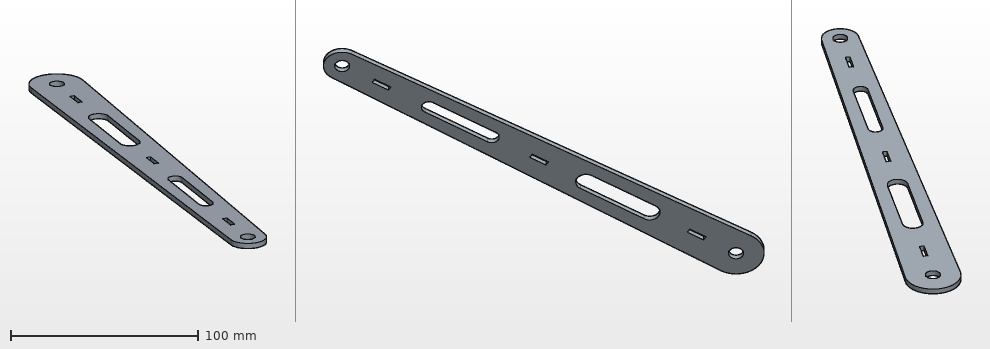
import cadquery as cq
import math

length = 275.0
thickness = 3.0
large_end_radius = 14.98
small_end_radius = 10.04
pivot_diameter = 8.0

large_end_x = -length / 2 + large_end_radius
small_end_x = length / 2 - small_end_radius
pivot_spacing = small_end_x - large_end_x

large_slot_length = 51.5
large_slot_width = 11.0
small_slot_length = 47.8
small_slot_width = 8.0

slit_length = 10.2
slit_width = 2.5


def along_link(fraction):
    """X position at a fraction of the distance between the pivots."""
    return large_end_x + fraction * pivot_spacing


def cutter(x):
    """Sketching plane on the underside, centred at x on the link axis."""
    return cq.Workplane("XY").center(x, 0)


def link_blank():
    """Plate bounded by the two end arcs and their common tangent edges."""
    normal_x = (large_end_radius - small_end_radius) / pivot_spacing
    normal_y = math.sqrt(1 - normal_x**2)
    large_tangent_x = large_end_x + large_end_radius * normal_x
    large_tangent_y = large_end_radius * normal_y
    small_tangent_x = small_end_x + small_end_radius * normal_x
    small_tangent_y = small_end_radius * normal_y
    return (
        cq.Workplane("XY")
        .moveTo(large_tangent_x, large_tangent_y)
        .lineTo(small_tangent_x, small_tangent_y)
        .threePointArc((length / 2, 0), (small_tangent_x, -small_tangent_y))
        .lineTo(large_tangent_x, -large_tangent_y)
        .threePointArc((-length / 2, 0), (large_tangent_x, large_tangent_y))
        .close()
        .extrude(thickness)
    )


result = link_blank()

for pivot_x in (large_end_x, small_end_x):
    result = result.cut(cutter(pivot_x).circle(pivot_diameter / 2).extrude(thickness))

for fraction in (0.1, 0.5, 0.9):
    slit = cutter(along_link(fraction)).rect(slit_length, slit_width).extrude(thickness)
    result = result.cut(slit)

for fraction, slot_length, slot_width in (
    (0.3, large_slot_length, large_slot_width),
    (0.7, small_slot_length, small_slot_width),
):
    slot = cutter(along_link(fraction)).slot2D(slot_length, slot_width).extrude(thickness)
    result = result.cut(slot)